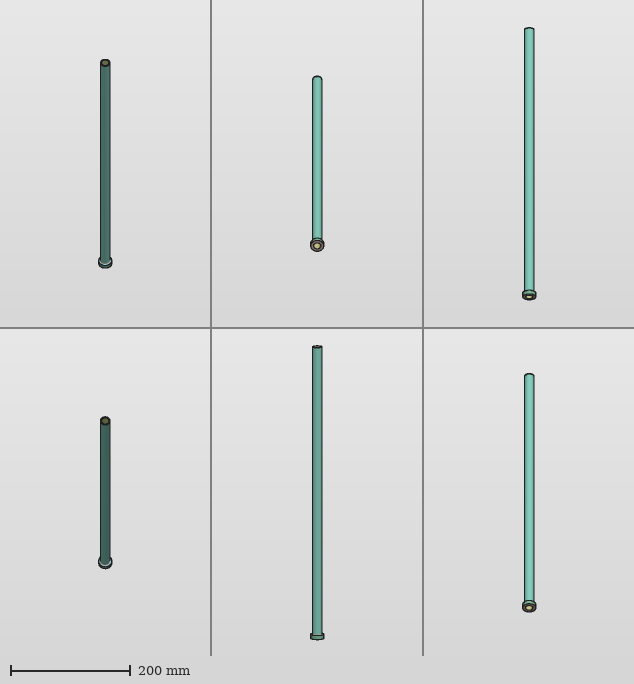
import cadquery as cq
import math

total_length = 500.0
collar_diameter = 22.0
collar_height = 7.0
tube_diameter = 16.0
bore_diameter = 12.0
neck_fillet_radius = 0.8


def make_body():
    """Collar and shank turned in one piece, with a fillet where they meet."""
    collar_radius = collar_diameter / 2
    tube_radius = tube_diameter / 2
    fillet_center_x = tube_radius + neck_fillet_radius
    fillet_center_z = collar_height + neck_fillet_radius
    diagonal_reach = neck_fillet_radius * math.cos(math.radians(45))
    return (
        cq.Workplane("XZ")
        .moveTo(0, 0)
        .lineTo(collar_radius, 0)
        .lineTo(collar_radius, collar_height)
        .lineTo(fillet_center_x, collar_height)
        .threePointArc(
            (fillet_center_x - diagonal_reach, fillet_center_z - diagonal_reach),
            (tube_radius, fillet_center_z),
        )
        .lineTo(tube_radius, total_length)
        .lineTo(0, total_length)
        .close()
        .revolve(360, (0, 0, 0), (0, 1, 0))
    )


def make_bore():
    """Straight through bore along the axis."""
    return cq.Workplane("XY").circle(bore_diameter / 2).extrude(total_length)


result = make_body().cut(make_bore())